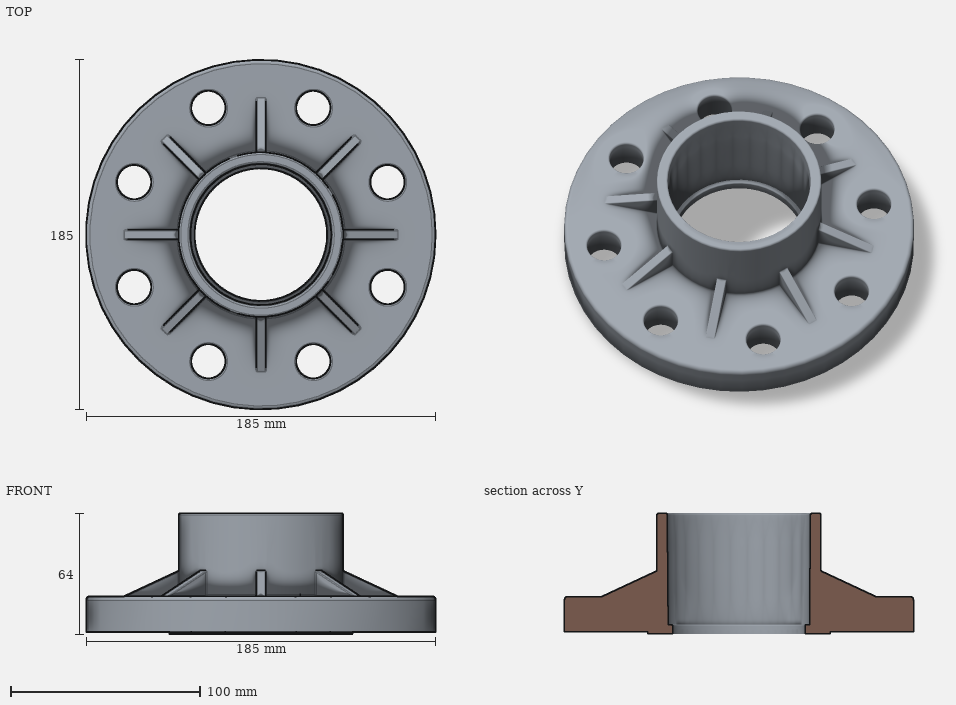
import cadquery as cq

flange_diameter = 185.0
flange_top = 20.0
flange_top_fillet = 2.0
flange_bottom_fillet = 0.5
raised_face_diameter = 97.0
raised_face_height = 1.0
raised_face_fillet = 0.5

overall_height = 64.0
hub_diameter = 87.0
hub_top_fillet = 1.0
hub_root_fillet = 1.0

bore_diameter = 70.0
socket_mouth_diameter = 75.5
socket_floor_diameter = 74.5
socket_floor = 5.0
socket_mouth_fillet = 1.0
shelf_edge_fillet = 0.5

bolt_hole_count = 8
bolt_hole_diameter = 18.0
bolt_hole_rim_fillet = 1.0
bolt_circle_diameter = 145.0

rib_count = 8
rib_width = 5.0
rib_end_radius = 72.4
rib_height_at_hub = 13.5
rib_edge_fillet = 0.5
rib_root_fillet = 0.5
rib_embed = 5.0

contact_tolerance = 0.001

flange_radius = flange_diameter / 2
raised_face_radius = raised_face_diameter / 2
hub_radius = hub_diameter / 2
bore_radius = bore_diameter / 2
mouth_radius = socket_mouth_diameter / 2
socket_floor_radius = socket_floor_diameter / 2
bolt_hole_radius = bolt_hole_diameter / 2


def turned(profile):
    """Solid of revolution about Z from a closed profile drawn in the XZ plane."""
    return profile.revolve(360, (0, 0, 0), (0, 1, 0))


def copies_around_axis(shape, count, first_angle=0):
    """Equally spaced copies of a shape around Z."""
    step = 360 / count
    return [shape.rotate((0, 0, 0), (0, 0, 1), first_angle + step * i) for i in range(count)]


def flange_and_hub():
    """Raised face, flange and hub, still without the bore."""
    profile = (
        cq.Workplane("XZ")
        .lineTo(raised_face_radius - raised_face_fillet, 0)
        .radiusArc((raised_face_radius, raised_face_fillet), -raised_face_fillet)
        .lineTo(raised_face_radius, raised_face_height)
        .lineTo(flange_radius - flange_bottom_fillet, raised_face_height)
        .radiusArc((flange_radius, raised_face_height + flange_bottom_fillet), -flange_bottom_fillet)
        .lineTo(flange_radius, flange_top - flange_top_fillet)
        .radiusArc((flange_radius - flange_top_fillet, flange_top), -flange_top_fillet)
        .lineTo(hub_radius + hub_root_fillet, flange_top)
        .radiusArc((hub_radius, flange_top + hub_root_fillet), hub_root_fillet)
        .lineTo(hub_radius, overall_height - hub_top_fillet)
        .radiusArc((hub_radius - hub_top_fillet, overall_height), -hub_top_fillet)
        .lineTo(0, overall_height)
        .close()
    )
    return turned(profile)


def rib():
    """One stiffening rib pointing along +X, with its two sloped edges rounded."""
    slope = rib_height_at_hub / (rib_end_radius - hub_radius)
    inner_radius = hub_radius - rib_embed
    top_at_inner_radius = flange_top + (rib_end_radius - inner_radius) * slope
    plate = (
        cq.Workplane("XZ")
        .moveTo(inner_radius, flange_top - rib_embed)
        .lineTo(rib_end_radius, flange_top - rib_embed)
        .lineTo(rib_end_radius, flange_top)
        .lineTo(inner_radius, top_at_inner_radius)
        .close()
        .extrude(rib_width / 2, both=True)
    )
    return plate.edges("not(|X or |Y or |Z)").fillet(rib_edge_fillet)


def add_ribs(body):
    """Join the ribs to the body and round the edges where they meet it."""
    ribs = copies_around_axis(rib(), rib_count)
    joined = body
    for one_rib in ribs:
        joined = joined.union(one_rib)

    def is_root(edge):
        middle = cq.Vertex.makeVertex(*edge.positionAt(0.5).toTuple())
        on_body = body.val().distance(middle) < contact_tolerance
        on_rib = any(one_rib.val().distance(middle) < contact_tolerance for one_rib in ribs)
        return on_body and on_rib

    root_edges = [edge for edge in joined.edges().vals() if is_root(edge)]
    return joined.newObject(root_edges).fillet(rib_root_fillet)


def bore():
    """Cutter for the through bore and the tapered socket, with rounded shelf and mouth edges."""
    profile = (
        cq.Workplane("XZ")
        .lineTo(bore_radius, 0)
        .lineTo(bore_radius, socket_floor - shelf_edge_fillet)
        .radiusArc((bore_radius + shelf_edge_fillet, socket_floor), shelf_edge_fillet)
        .lineTo(socket_floor_radius, socket_floor)
        .lineTo(mouth_radius, overall_height - socket_mouth_fillet)
        .radiusArc((mouth_radius + socket_mouth_fillet, overall_height), socket_mouth_fillet)
        .lineTo(0, overall_height)
        .close()
    )
    return turned(profile)


def bolt_hole():
    """Cutter for one bolt hole with a rounded upper rim, standing on the Z axis."""
    profile = (
        cq.Workplane("XZ")
        .lineTo(bolt_hole_radius, 0)
        .lineTo(bolt_hole_radius, flange_top - bolt_hole_rim_fillet)
        .radiusArc((bolt_hole_radius + bolt_hole_rim_fillet, flange_top), bolt_hole_rim_fillet)
        .lineTo(0, flange_top)
        .close()
    )
    return turned(profile)


def cut_bolt_holes(body):
    """Bolt holes on the bolt circle, turned half a step so that they straddle the X and Y axes."""
    first_hole = bolt_hole().translate((bolt_circle_diameter / 2, 0, 0))
    half_step = 180 / bolt_hole_count
    for hole in copies_around_axis(first_hole, bolt_hole_count, half_step):
        body = body.cut(hole)
    return body


ribbed_body = add_ribs(flange_and_hub())
result = cut_bolt_holes(ribbed_body.cut(bore()))